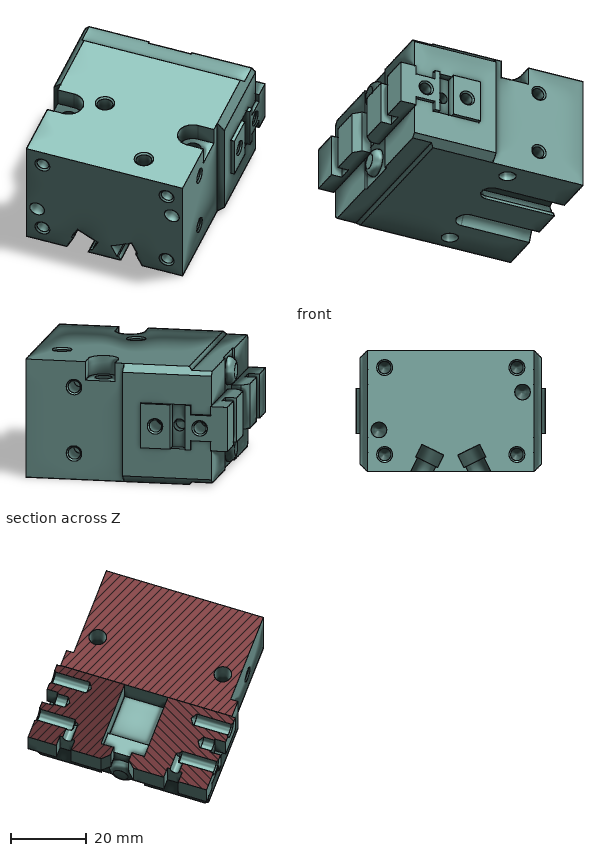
import cadquery as cq
import math


length = 55.0
height = 32.0
rear_width = 44.0
front_width = 48.0
front_start_y = 26.5
front_corner_chamfer = 2.0

cover_start_y = 45.0
cover_end_y = 50.5
cover_setback = 0.9
cover_height = height - 2 * cover_setback
relief_width = 12.0
relief_depth = 0.5
relief_floor_y = cover_end_y - relief_depth

button_diameter = 7.6
button_height = 2.2
button_flat_diameter = 4.1
button_spacing = 20.8
button_dome_radius = 3.4
button_dome_height = 1.3

jaw_span = 50.0
jaw_gap = 5.0
jaw_height = 12.0
neck_height = 7.0
foot_start_y = 31.5
jaw_corner_chamfer = 2.0
finger_groove_x = 15.0
finger_groove_width = 4.0
finger_groove_depth = 3.0
finger_hole_diameter = 2.5
finger_hole_depth = 5.0
jaw_side_slot_y = 41.5
jaw_side_slot_width = 4.0
jaw_side_slot_depth = 3.0
jaw_side_slot_hole_diameter = 3.2
jaw_side_slot_hole_depth = 3.0
jaw_foot_hole_y = 35.5
jaw_head_hole_y = 47.5
jaw_hole_depth = 10.0

thread_diameter = 3.3
thread_mouth_diameter = 4.2
thread_depth = 8.0
drill_point_angle = 118.0

rear_hole_spacing_x = 35.0
rear_hole_spacing_z = 23.0
dowel_diameter = 4.1
dowel_depth = 8.0
dowel_x = 19.0
dowel_z = 5.0
side_hole_y = 13.0
side_hole_spacing_z = 18.0

mount_spacing = 35.0
mount_y = 20.0
mount_hole_diameter = 4.5
mount_pocket_width = 8.0
mount_pocket_depth = 5.0

ports = [(-8.5, 23.5, 24.5), (8.5, 7.0, 7.0)]
port_diameter = 4.2
port_mouth_diameter = 5.1
port_depth = 5.0
passage_diameter = 1.8
passage_depth = 3.0

sensor_slot_x = 7.6
sensor_slot_tilt = 26.3
sensor_slot_depth = 6.45
sensor_slot_wide_width = 6.45
sensor_slot_wide_depth = 3.7
sensor_slot_neck_width = 5.4
sensor_slot_length = 20.0


def box(x_range, y_range, z_range):
    """Box between two limits along each axis."""
    sizes = [high - low for low, high in (x_range, y_range, z_range)]
    corner = (x_range[0], y_range[0], z_range[0])
    return cq.Workplane("XY").box(*sizes, centered=False).translate(corner)


def centred(size):
    """Limits of a size centred on zero."""
    return (-size / 2, size / 2)


def drilled_hole(start, direction, diameter, depth, mouth_diameter=None):
    """Blind hole with a conical drill point and, if given, a 45 degree countersunk mouth."""
    radius = diameter / 2
    point_depth = radius / math.tan(math.radians(drill_point_angle / 2))
    profile = cq.Workplane("XZ")
    if mouth_diameter is None:
        profile = profile.lineTo(radius, 0)
    else:
        mouth_radius = mouth_diameter / 2
        profile = profile.lineTo(mouth_radius, 0).lineTo(radius, mouth_radius - radius)
    profile = profile.lineTo(radius, depth).lineTo(0, depth + point_depth).close()
    hole = profile.revolve(360, (0, 0, 0), (0, 1, 0)).val()
    return cq.Workplane(hole.moved(cq.Plane(start, normal=direction).location))


def threaded_hole(start, direction, depth=thread_depth):
    """Countersunk blind hole of the thread size used all over the part."""
    return drilled_hole(start, direction, thread_diameter, depth, thread_mouth_diameter)


def housing_blank():
    """Rear block, wider front with chamfered long edges, and the stepped-down cover."""
    rear = box(centred(rear_width), (0, cover_start_y), centred(height))
    front = (
        box(centred(front_width), (front_start_y, cover_end_y), centred(height))
        .edges("|Y")
        .chamfer(front_corner_chamfer)
    )
    body = rear.union(front).intersect(cover_envelope())
    relief = box(centred(relief_width), (relief_floor_y, cover_end_y), centred(height))
    return body.cut(relief)


def cover_envelope():
    """Side outline of the housing, with 45 degree steps down to the cover."""
    return (
        cq.Workplane("YZ")
        .moveTo(0, -height / 2)
        .lineTo(cover_start_y - cover_setback, -height / 2)
        .lineTo(cover_start_y, -cover_height / 2)
        .lineTo(cover_end_y, -cover_height / 2)
        .lineTo(cover_end_y, cover_height / 2)
        .lineTo(cover_start_y, cover_height / 2)
        .lineTo(cover_start_y - cover_setback, height / 2)
        .lineTo(0, height / 2)
        .close()
        .extrude(front_width / 2, both=True)
    )


def button_head(z):
    """Domed screw head with a flat top, standing on the relief floor."""
    head = (
        cq.Workplane("XY")
        .lineTo(button_diameter / 2, 0)
        .threePointArc(
            (button_dome_radius, button_dome_height),
            (button_flat_diameter / 2, button_height),
        )
        .lineTo(0, button_height)
        .close()
        .revolve(360, (0, 0, 0), (0, 1, 0))
    )
    return head.translate((0, relief_floor_y, z))


def jaw_t_slot():
    """T-slot through the full width: wide in the housing, narrow through the cover."""
    wide = box(centred(front_width), (foot_start_y, cover_start_y), centred(jaw_height))
    narrow = box(centred(front_width), (cover_start_y, cover_end_y), centred(neck_height))
    return wide.union(narrow)


def mount_cut(side):
    """Through hole and round-ended pocket that opens to one side face."""
    x = side * mount_spacing / 2
    pocket_floor_z = height / 2 - mount_pocket_depth
    edge_x = side * rear_width / 2
    hole = cq.Workplane("XY").center(x, mount_y).circle(mount_hole_diameter / 2).extrude(height, both=True)
    round_end = (
        cq.Workplane("XY", origin=(x, mount_y, pocket_floor_z))
        .circle(mount_pocket_width / 2)
        .extrude(mount_pocket_depth)
    )
    mouth = box(
        (min(x, edge_x), max(x, edge_x)),
        (mount_y - mount_pocket_width / 2, mount_y + mount_pocket_width / 2),
        (pocket_floor_z, height / 2),
    )
    return hole.union(round_end).union(mouth)


def port_cut(x, y, passage_y):
    """Flat-bottomed countersunk port with a narrow passage in its floor."""
    mouth_chamfer = (port_mouth_diameter - port_diameter) / 2
    floor_z = height / 2 - port_depth
    bore = cq.Workplane("XY", origin=(x, y, floor_z)).circle(port_diameter / 2).extrude(port_depth)
    mouth = (
        cq.Workplane("XY", origin=(x, y, height / 2))
        .circle(port_mouth_diameter / 2)
        .extrude(-mouth_chamfer, taper=45)
    )
    passage = drilled_hole((x, passage_y, floor_z), (0, 0, -1), passage_diameter, passage_depth)
    return bore.union(mouth).union(passage)


def sensor_slot(side):
    """Undercut slot with a round inner end, open to the mounting face and leaning inwards."""

    def channel(width, bottom, top):
        straight = box(centred(width), (0, sensor_slot_length), (bottom, top))
        round_end = (
            cq.Workplane("XY", origin=(0, sensor_slot_length, bottom))
            .circle(width / 2)
            .extrude(top - bottom)
        )
        return straight.union(round_end)

    wide = channel(sensor_slot_wide_width, sensor_slot_depth - sensor_slot_wide_depth, sensor_slot_depth)
    neck = channel(sensor_slot_neck_width, -sensor_slot_depth, sensor_slot_depth)
    slot = wide.union(neck).rotate((0, 0, 0), (0, 1, 0), -side * sensor_slot_tilt)
    return slot.translate((side * sensor_slot_x, 0, -height / 2))


def make_housing():
    """Housing with its cover, screw heads, T-slot, holes, ports and sensor slots."""
    body = housing_blank()
    for end in (-1, 1):
        body = body.union(button_head(end * button_spacing / 2))
    body = body.cut(jaw_t_slot())

    for x_side in (-1, 1):
        body = body.cut(mount_cut(x_side)).cut(sensor_slot(x_side))
        dowel_start = (x_side * dowel_x, 0, x_side * dowel_z)
        body = body.cut(drilled_hole(dowel_start, (0, 1, 0), dowel_diameter, dowel_depth))
        for z_side in (-1, 1):
            rear_start = (x_side * rear_hole_spacing_x / 2, 0, z_side * rear_hole_spacing_z / 2)
            side_start = (x_side * rear_width / 2, side_hole_y, z_side * side_hole_spacing_z / 2)
            body = body.cut(threaded_hole(rear_start, (0, 1, 0)))
            body = body.cut(threaded_hole(side_start, (-x_side, 0, 0)))

    for x, y, passage_y in ports:
        body = body.cut(port_cut(x, y, passage_y))
    return body


def jaw_blank():
    """Foot in the T-slot, neck through the cover and head outside it."""
    outer_x = jaw_span / 2
    head_inner_x = jaw_gap / 2
    neck_inner_x = relief_width / 2
    foot = box((neck_inner_x, outer_x), (foot_start_y, cover_start_y), centred(jaw_height))
    neck = box((neck_inner_x, outer_x), (cover_start_y, cover_end_y), centred(neck_height))
    head = (
        box((head_inner_x, outer_x), (cover_end_y, length), centred(jaw_height))
        .edges("|Z and <X and >Y")
        .chamfer(jaw_corner_chamfer)
    )
    return foot.union(neck).union(head)


def finger_groove():
    """Groove across the gripping face, with a hole in its floor."""
    floor_y = length - finger_groove_depth
    half_width = finger_groove_width / 2
    groove = box(
        (finger_groove_x - half_width, finger_groove_x + half_width),
        (floor_y, length),
        centred(jaw_height),
    )
    floor_centre = (finger_groove_x, floor_y, 0)
    hole = drilled_hole(floor_centre, (0, -1, 0), finger_hole_diameter, finger_hole_depth)
    return groove.union(hole)


def jaw_side_slot():
    """Slot across the outer end of the foot, with a hole in its floor."""
    outer_x = jaw_span / 2
    floor_x = outer_x - jaw_side_slot_depth
    half_width = jaw_side_slot_width / 2
    slot = box(
        (floor_x, outer_x),
        (jaw_side_slot_y - half_width, jaw_side_slot_y + half_width),
        centred(jaw_height),
    )
    hole = drilled_hole(
        (floor_x, jaw_side_slot_y, 0),
        (-1, 0, 0),
        jaw_side_slot_hole_diameter,
        jaw_side_slot_hole_depth,
    )
    return slot.union(hole)


def make_jaw(side):
    """Jaw on the +X side, or its mirror image on the -X side."""
    jaw = jaw_blank().cut(finger_groove()).cut(jaw_side_slot())
    for y in (jaw_foot_hole_y, jaw_head_hole_y):
        jaw = jaw.cut(threaded_hole((jaw_span / 2, y, 0), (-1, 0, 0), jaw_hole_depth))
    return jaw if side > 0 else jaw.mirror("YZ")


housing = make_housing()
jaws = [make_jaw(side) for side in (-1, 1)]

result = cq.Compound.makeCompound([housing.solids().val(), *[jaw.solids().val() for jaw in jaws]])